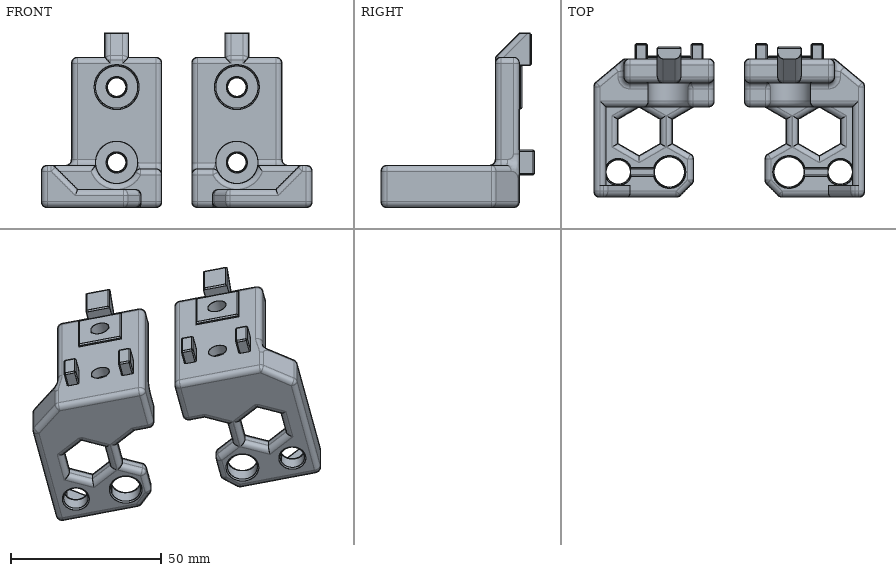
import cadquery as cq
import math

total_width = 90
bracket_gap = 10.0
bracket_width = (total_width - bracket_gap) / 2
base_depth = 46.0
base_height = 14.0
edge_radius = 2.0
tolerance = 0.01

plate_width = 30.0
plate_thickness = 8.0
plate_top = 49.95
plate_left = bracket_width - plate_width
plate_front = base_depth - plate_thickness

block_depth = 16.0
block_front = base_depth - block_depth
shoulder_height = 12.9
wall_width = 4.05
corner_cut_y = 8.4
gusset_thickness = 4.0
ramp_start = wall_width

floor_height = 6.0
gusset_foot = floor_height / 2
hex_flats = 14.0
hex_radius = hex_flats / math.sqrt(3)
web_width = 4.05
hex_x = 15.0
hex_y = block_front - hex_radius
open_hex_x = hex_x + hex_flats + web_width
tongue_chamfer = 4.95

floor_hole_y = 8.4
small_hole_x = 8.1
small_hole_diameter = 8.1
large_hole_x = 25.1
large_hole_diameter = 10.0
slot_width = 2.0
slot_floor = 1.0
rim_chamfer = 0.45

screw_x = plate_left + plate_width / 2
lower_screw_z = 15.0
screw_pitch = 25.0
upper_screw_z = lower_screw_z + screw_pitch
screw_diameter = 6.1
counterbore_diameter = 14.0
trough_recess = 4.0
counterbore_depth = 3.5

boss_size = 14.6
boss_thickness = 0.9
boss_chamfer = 0.45
peg_width = 4.05
peg_height = 8.3
peg_length = 5.0
peg_pitch = 18.5
peg_chamfer = 0.45

hook_width = 8.0
hook_overhang = 4.0
hook_top = 58.0
hook_bottom = 47.25
hook_chamfer = 0.45


def box_between(low, high):
    """Box from its low corner to its high corner."""
    size = [b - a for a, b in zip(low, high)]
    return cq.Workplane("XY").box(*size, centered=False).translate(low)


def cylinder_along_y(diameter, x, z, y_start, y_end):
    """Cylinder along Y between two Y positions."""
    axis = cq.Workplane("XZ", origin=(x, y_start, z))
    return axis.circle(diameter / 2).extrude(y_start - y_end)


def make_gusset():
    """Front corner gusset: as tall as the wall, then a 45 degree ramp down into the floor."""
    tangent = edge_radius * math.tan(math.radians(22.5))
    slant = tangent * math.sqrt(0.5)
    arc_drop = edge_radius * (1 - math.sqrt(0.5))
    arc_middle = (
        ramp_start - tangent + edge_radius * math.sin(math.radians(22.5)),
        base_height - edge_radius * (1 - math.cos(math.radians(22.5))),
    )
    profile = (
        cq.Workplane("XZ")
        .moveTo(0, gusset_foot)
        .lineTo(0, base_height)
        .lineTo(ramp_start - tangent, base_height)
        .threePointArc(arc_middle, (ramp_start + slant, base_height - arc_drop))
        .lineTo(ramp_start + base_height - gusset_foot, gusset_foot)
        .close()
    )
    return profile.extrude(-gusset_thickness)


def is_rounded(edge):
    """True for the frame edges that get the edge radius."""
    x, y, z = edge.Center().toTuple()
    in_trough = (
        abs(x - screw_x) < counterbore_diameter / 2 + tolerance
        and block_front + tolerance < y < base_depth - tolerance
        and tolerance < z < plate_top - tolerance
    )
    if in_trough:
        return abs(z - shoulder_height) < tolerance
    inner_wall = abs(x - wall_width / 2) < tolerance
    gusset_inside = x > wall_width / 2 and tolerance < y < block_front - tolerance
    gusset_bottom = x > wall_width / 2 and y < tolerance and z < gusset_foot + tolerance
    return not (inner_wall or gusset_inside or gusset_bottom)


def make_frame():
    """Plate, block, outer half of the side wall and gusset, with rounded edges."""
    outline = [
        (0, 0),
        (wall_width / 2, 0),
        (wall_width / 2, block_front),
        (bracket_width, block_front),
        (bracket_width, base_depth),
        (plate_left, base_depth),
        (0, base_depth - corner_cut_y),
    ]
    frame = cq.Workplane("XY").polyline(outline).close().extrude(base_height)
    frame = frame.cut(
        box_between((screw_x, 0, shoulder_height), (bracket_width, plate_front, base_height))
    )
    frame = frame.union(
        box_between((plate_left, plate_front, 0), (bracket_width, base_depth, plate_top))
    )
    frame = frame.union(make_gusset())
    trough = cylinder_along_y(
        counterbore_diameter, screw_x, lower_screw_z, 0, plate_front + trough_recess
    )
    solid = frame.cut(trough).solids().val()
    rounded_edges = [edge for edge in solid.Edges() if is_rounded(edge)]
    return cq.Workplane(solid.fillet(edge_radius, rounded_edges))


def make_inner_wall():
    """Inner half of the side wall, rounded along its top."""
    wall = box_between(
        (wall_width / 2, gusset_thickness / 2, 0),
        (wall_width, block_front + edge_radius, base_height),
    )
    return wall.edges(">X and >Z").fillet(edge_radius)


def make_floor():
    """Floor slab with a closed hexagon, the tongue and the open half hexagon beside it."""
    rear = block_front + 2 * edge_radius
    side = wall_width / 2
    open_hex_left = open_hex_x - hex_flats / 2
    tongue_tip = hex_y - hex_radius
    outline = [
        (side, 0),
        (open_hex_x - tongue_chamfer, 0),
        (open_hex_x, tongue_chamfer),
        (open_hex_x, tongue_tip),
        (open_hex_left, hex_y - hex_radius / 2),
        (open_hex_left, hex_y + hex_radius / 2),
        (open_hex_x, hex_y + hex_radius),
        (open_hex_x, rear),
        (side, rear),
    ]
    slab = cq.Workplane("XY").polyline(outline).close().extrude(floor_height)
    hexagon = (
        cq.Workplane("XY", origin=(hex_x, hex_y, 0))
        .transformed(rotate=(0, 0, 30))
        .polygon(6, 2 * hex_radius)
        .extrude(floor_height)
    )
    slab = slab.cut(hexagon)

    def is_free(edge):
        x, y, z = edge.Center().toTuple()
        if edge.BoundingBox().zlen > tolerance:
            return y < tongue_tip + tolerance and x > open_hex_x - tongue_chamfer - tolerance
        return x > side + tolerance and y < block_front

    solid = slab.val()
    return cq.Workplane(solid.fillet(edge_radius, [e for e in solid.Edges() if is_free(e)]))


def floor_hole(x, diameter):
    """Tool for a vertical hole through the floor with chamfered rims."""
    hole = cq.Workplane("XY", origin=(x, floor_hole_y, 0)).circle(diameter / 2)
    hole = hole.extrude(floor_height)
    for z, direction in ((0, 1), (floor_height, -1)):
        rim = cq.Workplane("XY", origin=(x, floor_hole_y, z))
        rim = rim.circle(diameter / 2 + rim_chamfer).extrude(direction * rim_chamfer, taper=45)
        hole = hole.union(rim)
    return hole


def floor_slot():
    """Tool for the slot between the floor holes, chamfered along its top edges."""
    half = slot_width / 2
    profile = [
        (floor_hole_y - half, slot_floor),
        (floor_hole_y + half, slot_floor),
        (floor_hole_y + half, floor_height - rim_chamfer),
        (floor_hole_y + half + rim_chamfer, floor_height),
        (floor_hole_y - half - rim_chamfer, floor_height),
        (floor_hole_y - half, floor_height - rim_chamfer),
    ]
    slot = cq.Workplane("YZ", origin=(small_hole_x, 0, 0)).polyline(profile).close()
    return slot.extrude(large_hole_x - small_hole_x)


def make_hook():
    """Hook that leans over the plate top and hangs behind the plate."""
    back = base_depth + hook_overhang
    profile = [
        (plate_front, plate_top - edge_radius),
        (plate_front, plate_top),
        (plate_front + hook_top - plate_top, hook_top),
        (back, hook_top),
        (back, hook_bottom),
        (base_depth - edge_radius, hook_bottom),
        (base_depth - edge_radius, plate_top - edge_radius),
    ]
    hook = cq.Workplane("YZ", origin=(screw_x - hook_width / 2, 0, 0))
    hook = hook.polyline(profile).close().extrude(hook_width)
    hook = hook.faces(">Y").edges().chamfer(hook_chamfer)
    slope_edges = [
        edge
        for edge in hook.edges().vals()
        if edge.Center().y < base_depth - edge_radius
        and edge.Center().z > plate_top - edge_radius + tolerance
    ]
    return cq.Workplane(hook.val().fillet(edge_radius, slope_edges))


def make_peg(x):
    """Square peg on the back of the plate, level with the lower screw hole."""
    peg = box_between(
        (x - peg_width / 2, base_depth - edge_radius, lower_screw_z - peg_height / 2),
        (x + peg_width / 2, base_depth + peg_length, lower_screw_z + peg_height / 2),
    )
    return peg.edges("|Y or >Y").chamfer(peg_chamfer)


def make_boss():
    """Low square boss on the back of the plate around the upper screw hole."""
    half = boss_size / 2
    boss = box_between(
        (screw_x - half, base_depth - edge_radius, upper_screw_z - half),
        (screw_x + half, base_depth + boss_thickness, upper_screw_z + half),
    )
    return boss.faces(">Y").edges().chamfer(boss_chamfer)


def cone_along_y(diameter, x, z, y):
    """Tool for a 45 degree rim chamfer at the mouth of a hole that opens toward -Y."""
    rim = cq.Workplane("XZ", origin=(x, y, z)).circle(diameter / 2 + rim_chamfer)
    return rim.extrude(-rim_chamfer, taper=45)


def cut_screw_holes(body):
    """Two screw holes through the plate; the upper one has its own counterbore."""
    recess_floor = plate_front + counterbore_depth
    hole_end = base_depth + peg_length
    for z, seat in ((lower_screw_z, plate_front + trough_recess), (upper_screw_z, recess_floor)):
        body = body.cut(cylinder_along_y(screw_diameter, screw_x, z, plate_front, hole_end))
        body = body.cut(cone_along_y(screw_diameter, screw_x, z, seat))
    body = body.cut(
        cylinder_along_y(counterbore_diameter, screw_x, upper_screw_z, plate_front, recess_floor)
    )
    return body.cut(cone_along_y(counterbore_diameter, screw_x, upper_screw_z, plate_front))


def make_bracket():
    """Left-hand bracket with its outer side at x = 0 and its front at y = 0."""
    body = make_frame().union(make_inner_wall()).union(make_floor())
    body = body.union(make_hook()).union(make_boss())
    for side in (-1, 1):
        body = body.union(make_peg(screw_x + side * peg_pitch / 2))
    body = cut_screw_holes(body)
    body = body.cut(floor_hole(small_hole_x, small_hole_diameter))
    body = body.cut(floor_hole(large_hole_x, large_hole_diameter))
    return body.cut(floor_slot())


left_bracket = make_bracket().translate((-total_width / 2, 0, 0))
right_bracket = left_bracket.mirror("YZ")

result = cq.Compound.makeCompound([*left_bracket.solids().vals(), *right_bracket.solids().vals()])